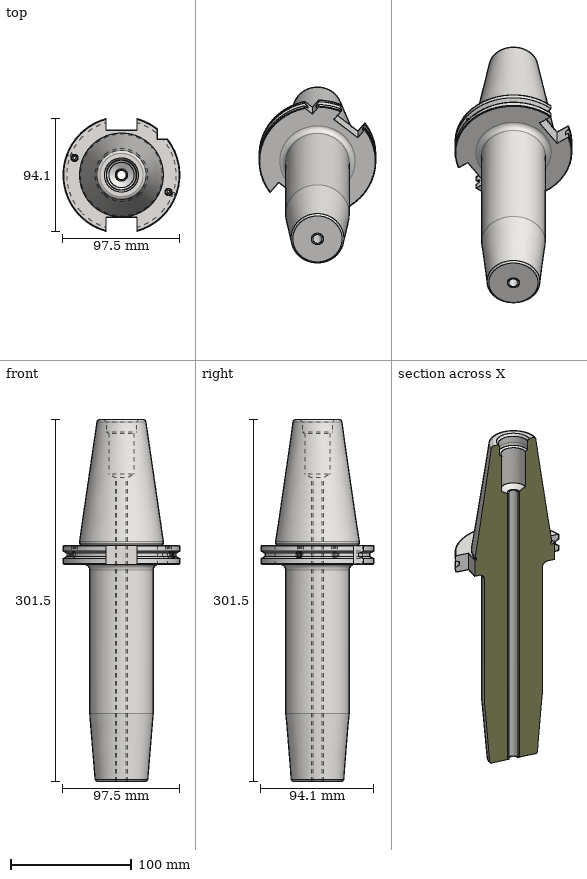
import cadquery as cq
import math

total_length = 301.5
taper_length = 101.5
flange_gap = 3.3
flange_thickness = 15.7
nose_length = 56.7
gauge_z = total_length - taper_length
flange_top = gauge_z - flange_gap
flange_bottom = flange_top - flange_thickness

taper_ratio = 7 / 24
gauge_radius = 35.0
taper_small_radius = gauge_radius - taper_length * taper_ratio / 2
taper_round = 2.5
collar_length = 2.0
neck_depth = 1.0

flange_diameter = 97.5
flange_radius = flange_diameter / 2
flange_chamfer = 0.5
groove_floor_radius = 45.5
groove_drop = 11.2
groove_mid_z = gauge_z - groove_drop
groove_floor_width = 2.7
groove_flank_angle = 30
groove_depth = flange_radius - groove_floor_radius
groove_flank = groove_depth * math.tan(math.radians(groove_flank_angle))
groove_mouth_width = groove_floor_width + 2 * groove_flank

keyway_width = 25.5
front_keyway_distance = 35.3
back_keyway_distance = 37.5
notch_distance = 30.0

shank_radius = 26.5
nose_radius = 22.0
nose_chamfer = 1.5
shank_fillet = 4.8

mouth_radius = 14.2
counterbore_radius = 12.7
mouth_depth = 2.0
counterbore_depth = 7.8
thread_entry_radius = 12.5
thread_entry_depth = 10.5
thread_radius = 10.5
thread_start_depth = 11.8
thread_end_depth = 45.2
drill_half_angle = 59.0
channel_radius = 5.0
drill_tip_length = (thread_radius - channel_radius) / math.tan(math.radians(drill_half_angle))
drill_tip_z = total_length - thread_end_depth - drill_tip_length

sleeve_bore_radius = 4.0

screw_angles = (160, 340)
screw_radius = 2.5
screw_length = 4.0
socket_width = 2.5
socket_depth = 1.8
face_screw_circle_radius = 41.5
countersink_radius = 3.0
countersink_depth = 0.5


def holder_blank():
    neck_radius = gauge_radius - neck_depth
    collar_bottom = gauge_z - collar_length
    groove_top = groove_mid_z + groove_mouth_width / 2
    groove_bottom = groove_mid_z - groove_mouth_width / 2
    rim_radius = flange_radius - flange_chamfer
    fillet_end_z = flange_bottom - shank_fillet
    fillet_middle = (
        shank_radius + shank_fillet * (1 - math.cos(math.radians(45))),
        fillet_end_z + shank_fillet * math.sin(math.radians(45)),
    )
    profile = (
        cq.Workplane("XZ")
        .lineTo(nose_radius - nose_chamfer, 0)
        .lineTo(nose_radius, nose_chamfer)
        .lineTo(shank_radius, nose_length)
        .lineTo(shank_radius, fillet_end_z)
        .threePointArc(fillet_middle, (shank_radius + shank_fillet, flange_bottom))
        .lineTo(rim_radius, flange_bottom)
        .lineTo(flange_radius, flange_bottom + flange_chamfer)
        .lineTo(flange_radius, groove_bottom)
        .lineTo(groove_floor_radius, groove_bottom + groove_flank)
        .lineTo(groove_floor_radius, groove_top - groove_flank)
        .lineTo(flange_radius, groove_top)
        .lineTo(flange_radius, flange_top - flange_chamfer)
        .lineTo(rim_radius, flange_top)
        .lineTo(neck_radius, flange_top)
        .lineTo(neck_radius, collar_bottom)
        .lineTo(gauge_radius, collar_bottom)
        .lineTo(gauge_radius, gauge_z)
        .lineTo(taper_small_radius, total_length)
        .lineTo(0, total_length)
        .close()
    )
    blank = profile.revolve(360, (0, 0, 0), (0, 1, 0))
    return blank.faces(">Z").edges().fillet(taper_round)


def flange_cutter(x_start, x_end, y_start, y_end):
    return (
        cq.Workplane("XY")
        .workplane(offset=flange_bottom)
        .center((x_start + x_end) / 2, (y_start + y_end) / 2)
        .rect(x_end - x_start, y_end - y_start)
        .extrude(flange_thickness)
    )


def bore_cutter():
    return (
        cq.Workplane("XZ")
        .lineTo(channel_radius, 0)
        .lineTo(channel_radius, drill_tip_z)
        .lineTo(thread_radius, total_length - thread_end_depth)
        .lineTo(thread_radius, total_length - thread_start_depth)
        .lineTo(thread_entry_radius, total_length - thread_entry_depth)
        .lineTo(counterbore_radius, total_length - counterbore_depth)
        .lineTo(counterbore_radius, total_length - mouth_depth)
        .lineTo(mouth_radius, total_length)
        .lineTo(0, total_length)
        .close()
        .revolve(360, (0, 0, 0), (0, 1, 0))
    )


def channel_sleeve():
    return cq.Workplane("XY").circle(channel_radius).circle(sleeve_bore_radius).extrude(drill_tip_z)


def screw_blank():
    """Plain screw body along Z with its outer end at the origin."""
    return cq.Workplane("XY").circle(screw_radius).extrude(-screw_length)


def grub_screw():
    socket_corner_diameter = socket_width / math.cos(math.radians(30))
    socket = cq.Workplane("XY").polygon(6, socket_corner_diameter).extrude(-socket_depth)
    return screw_blank().cut(socket)


def face_screw_hole():
    """Screw seat with a countersink above its outer end."""
    countersink = (
        cq.Workplane("XY")
        .circle(screw_radius)
        .workplane(offset=countersink_depth)
        .circle(countersink_radius)
        .loft()
    )
    return screw_blank().union(countersink)


def groove_screw_hole():
    """Screw seat continued outward past the flanks of the groove."""
    return screw_blank().union(cq.Workplane("XY").circle(screw_radius).extrude(groove_depth))


def in_flange_face(body, angle):
    screw_end_z = flange_top - countersink_depth
    return body.translate((face_screw_circle_radius, 0, screw_end_z)).rotate((0, 0, 0), (0, 0, 1), angle)


def in_groove(body, angle):
    outward = body.rotate((0, 0, 0), (0, 1, 0), 90)
    return outward.translate((groove_floor_radius, 0, groove_mid_z)).rotate((0, 0, 0), (0, 0, 1), angle)


half_key = keyway_width / 2
holder = (
    holder_blank()
    .cut(flange_cutter(-half_key, half_key, -flange_radius, -front_keyway_distance))
    .cut(flange_cutter(-half_key, half_key, back_keyway_distance, flange_radius))
    .cut(flange_cutter(notch_distance, flange_radius, notch_distance, flange_radius))
    .cut(bore_cutter())
)

face_screws = []
groove_screws = []
for angle in screw_angles:
    holder = holder.cut(in_flange_face(face_screw_hole(), angle))
    holder = holder.cut(in_groove(groove_screw_hole(), angle))
    face_screws.append(in_flange_face(grub_screw(), angle).val())
    groove_screws.append(in_groove(grub_screw(), angle).val())

sleeve = channel_sleeve()

result = cq.Compound.makeCompound([holder.val(), sleeve.val(), *face_screws, *groove_screws])